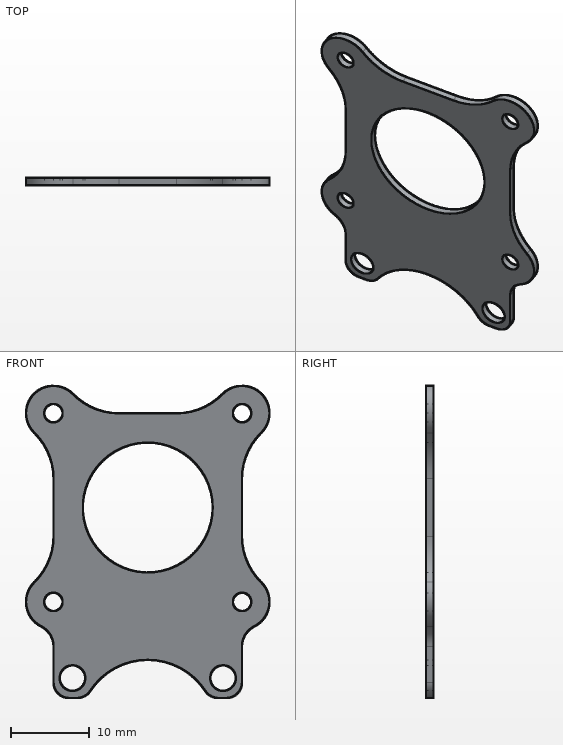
import cadquery as cq
import math

height = 39.75
thickness = 1.0
bore_diameter = 16.5
ear_offset = 12.0
ear_radius = 3.5
ear_hole_diameter = 2.3
ear_blend_radius = 8.15
lower_blend_radius = 2.85
foot_radius = 2.0
foot_hole_diameter = 3.2
foot_hole_offset = 9.58
foot_hole_height = 2.55
arch_radius = 8.75
arch_top_depth = 19.4

bottom = ear_offset + ear_radius - height
arch_center = -arch_top_depth - arch_radius


def blend_geometry(radius):
    """Blend from an ear to an edge line that runs through the ear centre.

    Returns the distance along the edge to the tangent point, then the distances
    along and away from the edge to the point where ear and blend touch.
    """
    reach = math.sqrt((radius + ear_radius) ** 2 - radius ** 2)
    share = ear_radius / (radius + ear_radius)
    return reach, reach * share, radius * share


def arc_middle(center, radius, start, end):
    """Point halfway along the minor arc from start to end."""
    x = start[0] + end[0] - 2 * center[0]
    z = start[1] + end[1] - 2 * center[1]
    length = math.hypot(x, z)
    return center[0] + radius * x / length, center[1] + radius * z / length


def add_arc(outline, center, radius, start, end):
    return outline.threePointArc(arc_middle(center, radius, start, end), end)


def make_half_plate():
    """Plate on the +X side of the centre plane."""
    reach, along, away = blend_geometry(ear_blend_radius)
    low_reach, low_along, low_away = blend_geometry(lower_blend_radius)
    edge = ear_offset
    blend_x = edge + ear_blend_radius

    top_tangent = (edge - reach, edge)
    upper_start = (edge - along, edge + away)
    upper_tip = (edge + ear_radius / math.sqrt(2), edge + ear_radius / math.sqrt(2))
    upper_end = (edge + away, edge - along)
    side_top = (edge, edge - reach)

    side_bottom = (edge, reach - edge)
    lower_start = (edge + away, along - edge)
    lower_tip = (edge + ear_radius, -edge)
    lower_end = (edge + low_away, -edge - low_along)
    short_side_top = (edge, -edge - low_reach)

    foot_z = bottom + foot_radius
    outer_foot_x = edge - foot_radius
    center_distance = arch_radius + foot_radius
    inner_foot_x = math.sqrt(center_distance ** 2 - (foot_z - arch_center) ** 2)
    arch_share = arch_radius / center_distance
    arch_end = (inner_foot_x * arch_share, arch_center + (foot_z - arch_center) * arch_share)

    outline = cq.Workplane("XZ").moveTo(0, edge).lineTo(*top_tangent)
    outline = add_arc(outline, (edge - reach, edge + ear_blend_radius), ear_blend_radius,
                      top_tangent, upper_start)
    outline = outline.threePointArc(upper_tip, upper_end)
    outline = add_arc(outline, (blend_x, edge - reach), ear_blend_radius, upper_end, side_top)
    outline = outline.lineTo(*side_bottom)
    outline = add_arc(outline, (blend_x, reach - edge), ear_blend_radius, side_bottom, lower_start)
    outline = outline.threePointArc(lower_tip, lower_end)
    outline = add_arc(outline, (edge + lower_blend_radius, -edge - low_reach), lower_blend_radius,
                      lower_end, short_side_top)
    outline = outline.lineTo(edge, foot_z)
    outline = add_arc(outline, (outer_foot_x, foot_z), foot_radius,
                      (edge, foot_z), (outer_foot_x, bottom))
    outline = outline.lineTo(inner_foot_x, bottom)
    outline = add_arc(outline, (inner_foot_x, foot_z), foot_radius,
                      (inner_foot_x, bottom), arch_end)
    outline = add_arc(outline, (0, arch_center), arch_radius, arch_end, (0, -arch_top_depth))
    return outline.close().extrude(thickness / 2, both=True)


def make_holes(points, diameter):
    return (
        cq.Workplane("XZ")
        .pushPoints(points)
        .circle(diameter / 2)
        .extrude(thickness, both=True)
    )


half_plate = make_half_plate()
plate = half_plate.union(half_plate.mirror("YZ")).clean()

ear_points = [(x, z) for x in (-ear_offset, ear_offset) for z in (-ear_offset, ear_offset)]
foot_points = [(x, bottom + foot_hole_height) for x in (-foot_hole_offset, foot_hole_offset)]

result = (
    plate
    .cut(make_holes([(0, 0)], bore_diameter))
    .cut(make_holes(ear_points, ear_hole_diameter))
    .cut(make_holes(foot_points, foot_hole_diameter))
)